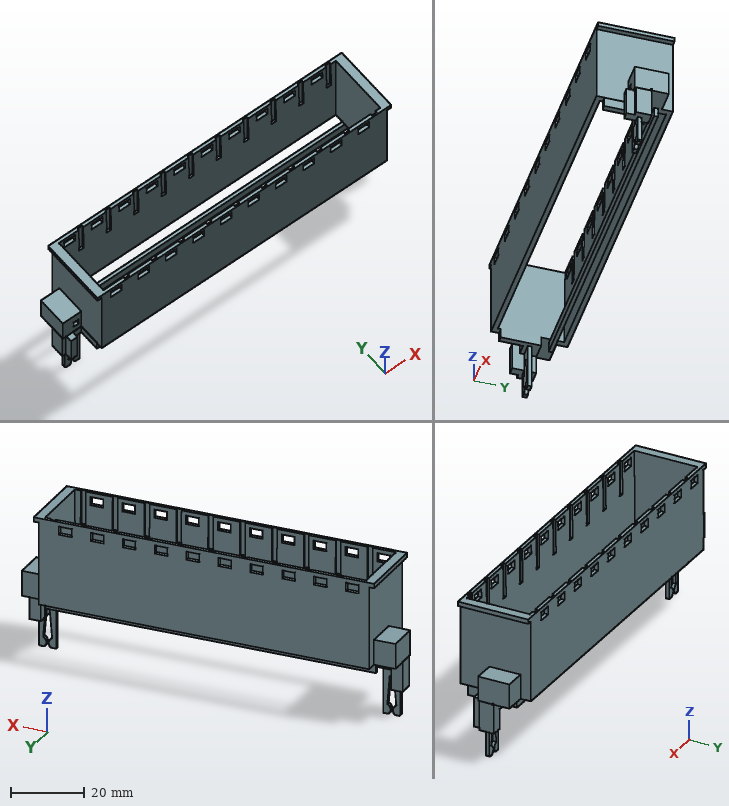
import cadquery as cq

OVERALL_LENGTH = 112.5
OVERALL_HEIGHT = 43.9

FRAME_LENGTH = 99.2
FRAME_WIDTH = 21.8
FRAME_HEIGHT = 26.1
RIM_LENGTH = 102.2
RIM_THICKNESS = 1.4
TOP_OPENING_LENGTH = 96.3
TOP_OPENING_WIDTH = 19.6
BOTTOM_OPENING_LENGTH = 95.7
BOTTOM_OPENING_WIDTH = 18.9

STATION_COUNT = 10
STATION_PITCH = 9.6
WINDOW_ROW_CENTER = -1.5
WINDOW_LENGTH = 3.8
WINDOW_HEIGHT = 2.5
GROOVE_ROW_CENTER = 2.6
GROOVE_LENGTH = 1.6
GROOVE_HEIGHT = 10.1
GROOVE_FLOOR_Y = 10.4

FOOT_DROP = 3.0
STEP = 0.1
BAR_BACK = 6.6
BAR_FRONT = 5.5
FOOT_FRONT = -8.7

EAR_SPAN = 112.2
EAR_END_X = EAR_SPAN / 2
EAR_HEIGHT = 7.5
EAR_BACK = 7.8
EAR_FRONT = -1.9
SOCKET_CENTER_X = 51.4
SOCKET_WIDTH = 1.8
SOCKET_HEIGHT = 2.0
SOCKET_BOTTOM = 2.4
SOCKET_DEPTH = 2.2

STEM_INNER_X = 52.5
STEM_BACK = 2.9
STEM_FRONT = -1.6
STEM_DROP = 9.1
RIB_OUTER_X = 54.8
RIB_FRONT = -3.9

LEG_CENTER_X = 51.6
LEG_HALF_WIDTH = 2.6
LEG_THICKNESS = 1.1
LEG_TIP_Z = FRAME_HEIGHT - OVERALL_HEIGHT
SLOT_TOP_Z = -6.1
SLOT_SHOULDER_Z = -7.0
SLOT_TOP_HALF_WIDTH = 0.7
SLOT_WIDEST_Z = -14.8
SLOT_HALF_WIDTH = 1.4
LIP_Z = (SLOT_WIDEST_Z + LEG_TIP_Z) / 2
LIP_HALF_GAP = 0.3
TIP_HALF_GAP = 1.0
LEG_CORNER_CHAMFER = 0.3

NIB_TIP_X = OVERALL_LENGTH - EAR_END_X
NIB_SIZE = 0.3

FRAME_END_X = FRAME_LENGTH / 2
OPENING_END_X = BOTTOM_OPENING_LENGTH / 2
OVERLAP = 0.6


def block(x0, x1, y0, y1, z0, z1):
    """Box spanning the given limits."""
    return cq.Workplane("XY").box(x1 - x0, y1 - y0, z1 - z0, centered=False).translate((x0, y0, z0))


def stations(row_center):
    """X positions of one row of windows or grooves."""
    first = row_center - STATION_PITCH * (STATION_COUNT - 1) / 2
    return [first + STATION_PITCH * i for i in range(STATION_COUNT)]


def make_frame():
    """Rectangular tube with overhanging end rims and an opening that narrows downwards."""
    frame = cq.Workplane("XY").box(FRAME_LENGTH, FRAME_WIDTH, FRAME_HEIGHT, centered=(True, True, False))
    rim = (
        cq.Workplane("XY", origin=(0, 0, FRAME_HEIGHT - RIM_THICKNESS))
        .box(RIM_LENGTH, FRAME_WIDTH, RIM_THICKNESS, centered=(True, True, False))
    )
    opening = (
        cq.Workplane("XY")
        .rect(BOTTOM_OPENING_LENGTH, BOTTOM_OPENING_WIDTH)
        .workplane(offset=FRAME_HEIGHT)
        .rect(TOP_OPENING_LENGTH, TOP_OPENING_WIDTH)
        .loft(ruled=True)
    )
    return frame.union(rim).cut(opening)


def cut_long_walls(frame):
    """Cut the windows through both long walls and the grooves into their inner faces."""
    window_top = FRAME_HEIGHT - RIM_THICKNESS
    window_bottom = window_top - WINDOW_HEIGHT
    groove_bottom = FRAME_HEIGHT - GROOVE_HEIGHT
    for x in stations(WINDOW_ROW_CENTER):
        half = WINDOW_LENGTH / 2
        window = block(x - half, x + half, -FRAME_WIDTH, FRAME_WIDTH, window_bottom, window_top)
        frame = frame.cut(window)
    for x in stations(GROOVE_ROW_CENTER):
        half = GROOVE_LENGTH / 2
        groove = block(x - half, x + half, -GROOVE_FLOOR_Y, GROOVE_FLOOR_Y, groove_bottom, FRAME_HEIGHT)
        frame = frame.cut(groove)
    return frame


def make_leg():
    """Plate with a flared slot that leaves two prongs with inward lips."""

    def slot_point(dx, z):
        return (LEG_CENTER_X + dx, z)

    slot = (
        cq.Workplane("XZ", origin=(0, LEG_THICKNESS / 2, 0))
        .moveTo(*slot_point(SLOT_TOP_HALF_WIDTH, SLOT_SHOULDER_Z))
        .lineTo(*slot_point(SLOT_HALF_WIDTH, SLOT_WIDEST_Z))
        .threePointArc(slot_point(LIP_HALF_GAP, LIP_Z), slot_point(TIP_HALF_GAP, LEG_TIP_Z))
        .lineTo(*slot_point(-TIP_HALF_GAP, LEG_TIP_Z))
        .threePointArc(slot_point(-LIP_HALF_GAP, LIP_Z), slot_point(-SLOT_HALF_WIDTH, SLOT_WIDEST_Z))
        .lineTo(*slot_point(-SLOT_TOP_HALF_WIDTH, SLOT_SHOULDER_Z))
        .threePointArc(slot_point(0, SLOT_TOP_Z), slot_point(SLOT_TOP_HALF_WIDTH, SLOT_SHOULDER_Z))
        .close()
        .extrude(LEG_THICKNESS)
    )
    plate = block(
        LEG_CENTER_X - LEG_HALF_WIDTH, LEG_CENTER_X + LEG_HALF_WIDTH,
        -LEG_THICKNESS / 2, LEG_THICKNESS / 2, LEG_TIP_Z, 0,
    )
    plate = plate.edges("|Y and >X and <Z").chamfer(LEG_CORNER_CHAMFER)
    return plate.cut(slot)


def make_end():
    """Ear, stem, leg and foot of the +X end."""
    inside_wall_x = FRAME_END_X - OVERLAP
    ear = block(inside_wall_x, EAR_END_X, EAR_FRONT, EAR_BACK, 0, EAR_HEIGHT)
    socket = block(
        SOCKET_CENTER_X - SOCKET_WIDTH / 2, SOCKET_CENTER_X + SOCKET_WIDTH / 2,
        EAR_FRONT, EAR_FRONT + SOCKET_DEPTH, SOCKET_BOTTOM, SOCKET_BOTTOM + SOCKET_HEIGHT,
    )
    stem = block(STEM_INNER_X, EAR_END_X - STEP, STEM_FRONT, STEM_BACK, -STEM_DROP, 0)
    stem_root = block(OPENING_END_X, STEM_INNER_X, EAR_FRONT + STEP, STEM_BACK, -FOOT_DROP, 0)
    rib = block(STEM_INNER_X, RIB_OUTER_X, RIB_FRONT, STEM_FRONT, -STEM_DROP, 0)
    foot = block(OPENING_END_X, FRAME_END_X - STEP, FOOT_FRONT, STEM_BACK, -FOOT_DROP, 0)
    return ear.cut(socket).union(stem).union(stem_root).union(rib).union(make_leg()).union(foot)


frame = cut_long_walls(make_frame())
bar = block(-FRAME_END_X, FRAME_END_X, BAR_FRONT, BAR_BACK, -FOOT_DROP, 0)
right_end = make_end()
left_end = right_end.mirror("YZ")
nib = block(EAR_END_X - NIB_SIZE, NIB_TIP_X, STEM_BACK - NIB_SIZE, STEM_BACK, 0, NIB_SIZE)
result = frame.union(bar).union(right_end).union(left_end).union(nib)